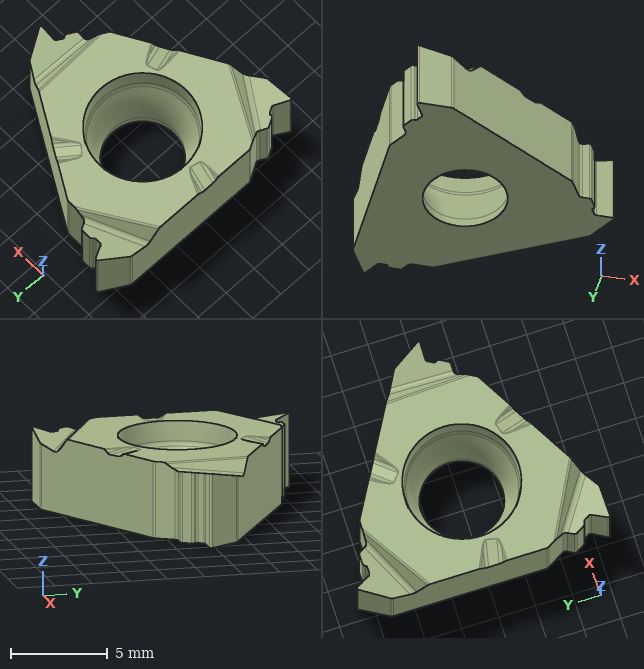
import cadquery as cq
import math

CORNERS = 3
THICKNESS = 4.1
SIDE_DISTANCE = 4.75
FLANK_SLOPE = math.tan(math.radians(60))

TIP_X = -3.78
TIP_APEX_Y = 7.0
ROOT_Y = 6.03
CREST_Y = 6.22
SHELF_Y = 5.69
STEP_X = -2.75
CREST_END_X = -1.94
TIP_RADIUS = 0.1
ROOT_RADIUS = 0.12
CREST_RADIUS = 0.18
SHELF_RADIUS = 0.25
SIDE_RADIUS = 0.27

BORE_RADIUS = 4.4 / 2
FLARE_START_Z = 0.5
FLARE_RADIUS = 4.0
FLARE_END_ANGLE = 35.0
MOUTH_FILLET = 0.5
MOUTH_RADIUS = 3.09

FLOOR_ANGLE = 15.0
TIP_DROP = 0.12
WALL_ANGLE = 52.4
WALL_TURN = 32.0
WALL_TOP_Y = 3.31
GROOVE_FILLET = 0.33
GROOVE_EDGE_RADIUS = 0.15
GROOVE_REACH = 5.47

NOTCH_TURN = -12.0
NOTCH_RAMP = 9.0
NOTCH_END_X = -3.39
NOTCH_END_Y = -0.5
NOTCH_FLOOR_WIDTH = 0.8
NOTCH_WALL_ANGLE = 35.0
NOTCH_FILLET = 0.37
NOTCH_EDGE_RADIUS = 0.14
NOTCH_REACH = 2.74

tip_top_y = TIP_APEX_Y - TIP_RADIUS
side_start_y = TIP_APEX_Y - (TIP_X + SIDE_DISTANCE) * FLANK_SLOPE
shelf_end_x = 2 * SIDE_DISTANCE - SHELF_Y * FLANK_SLOPE


def corner_angle(corner):
    return -360 * corner / CORNERS


def turned_point(point, corner):
    """Plan point of the first corner, moved to another corner."""
    angle = math.radians(corner_angle(corner))
    x, y = point
    return (x * math.cos(angle) - y * math.sin(angle), x * math.sin(angle) + y * math.cos(angle))


def turned_body(body, corner):
    return body.rotate((0, 0, 0), (0, 0, 1), corner_angle(corner))


def round_edge(body, point, radius):
    """Fillet the edge whose middle is nearest to a point."""
    return body.edges(cq.selectors.NearestToPointSelector(point)).fillet(radius)


def make_blank():
    def down_flank(x, from_y, to_y):
        return (x + (from_y - to_y) / FLANK_SLOPE, to_y)

    tooth = [
        ((-SIDE_DISTANCE, side_start_y), SIDE_RADIUS),
        ((TIP_X, TIP_APEX_Y), TIP_RADIUS),
        (down_flank(TIP_X, TIP_APEX_Y, ROOT_Y), ROOT_RADIUS),
        ((STEP_X, ROOT_Y), ROOT_RADIUS),
        ((STEP_X + (CREST_Y - ROOT_Y) / FLANK_SLOPE, CREST_Y), CREST_RADIUS),
        ((CREST_END_X, CREST_Y), CREST_RADIUS),
        (down_flank(CREST_END_X, CREST_Y, SHELF_Y), SHELF_RADIUS),
        ((shelf_end_x, SHELF_Y), SIDE_RADIUS),
    ]
    outline = [(turned_point(point, corner), radius) for corner in range(CORNERS) for point, radius in tooth]
    blank = cq.Workplane("XY").polyline([point for point, _ in outline]).close().extrude(THICKNESS)
    for point, radius in outline:
        blank = round_edge(blank, (*point, THICKNESS / 2), radius)
    return blank


def make_screw_hole():
    lean = math.radians(FLARE_END_ANGLE)
    flare_x = BORE_RADIUS + FLARE_RADIUS

    def on_flare(angle, offset=0):
        reach = FLARE_RADIUS + offset
        return (flare_x - reach * math.cos(angle), FLARE_START_Z + reach * math.sin(angle))

    fillet_x, fillet_z = on_flare(lean, MOUTH_FILLET)
    to_mouth_x = MOUTH_RADIUS - fillet_x
    to_mouth_z = THICKNESS - fillet_z
    taper = math.acos(MOUTH_FILLET / math.hypot(to_mouth_x, to_mouth_z)) - math.atan2(to_mouth_z, to_mouth_x)

    def on_fillet(angle):
        return (fillet_x + MOUTH_FILLET * math.cos(angle), fillet_z - MOUTH_FILLET * math.sin(angle))

    profile = (
        cq.Workplane("XZ")
        .lineTo(BORE_RADIUS, 0)
        .lineTo(BORE_RADIUS, FLARE_START_Z)
        .threePointArc(on_flare(lean / 2), on_flare(lean))
        .threePointArc(on_fillet((lean + taper) / 2), on_fillet(taper))
        .lineTo(MOUTH_RADIUS, THICKNESS)
        .lineTo(0, THICKNESS)
        .close()
    )
    return profile.revolve(360, (0, 0), (0, 1))


def make_groove():
    """Wedge whose floor and wall planes meet along a sloping, rounded fold line."""
    turn = math.radians(WALL_TURN)
    floor_slope = math.tan(math.radians(FLOOR_ANGLE))
    wall_slope = math.tan(math.radians(WALL_ANGLE))
    floor_normal = cq.Vector(0, -floor_slope, 1)
    wall_normal = cq.Vector(-wall_slope * math.sin(turn), wall_slope * math.cos(turn), 1)
    fold = wall_normal.cross(floor_normal)

    side_slope = wall_slope * math.cos(turn)
    fold_y = (TIP_DROP + floor_slope * tip_top_y + side_slope * WALL_TOP_Y) / (floor_slope + side_slope)
    fold_z = THICKNESS - side_slope * (fold_y - WALL_TOP_Y)
    fold_point = (-SIDE_DISTANCE, fold_y, fold_z)

    section = cq.Plane(fold_point, floor_normal.cross(fold), fold)
    opening = math.pi - floor_normal.getAngle(wall_normal)
    wall_end = (GROOVE_REACH * math.cos(opening), GROOVE_REACH * math.sin(opening))
    wedge = (
        cq.Workplane(section)
        .polyline([(0, 0), (GROOVE_REACH, 0), wall_end])
        .close()
        .extrude(GROOVE_REACH, both=True)
    )
    return round_edge(wedge, fold_point, GROOVE_FILLET)


def make_notch():
    """Channel with sloping walls, descending along its length."""
    turn = math.radians(NOTCH_TURN)
    ramp = math.radians(NOTCH_RAMP)
    across = cq.Vector(math.sin(turn), -math.cos(turn), 0)
    outward = cq.Vector(-math.cos(turn), -math.sin(turn), -math.tan(ramp))
    section = cq.Plane((NOTCH_END_X, NOTCH_END_Y, THICKNESS), across, outward)
    half_floor = NOTCH_FLOOR_WIDTH / 2
    half_top = half_floor + NOTCH_REACH / math.tan(math.radians(NOTCH_WALL_ANGLE))
    channel = (
        cq.Workplane(section)
        .polyline([(-half_floor, 0), (half_floor, 0), (half_top, NOTCH_REACH), (-half_top, NOTCH_REACH)])
        .close()
        .extrude(NOTCH_REACH, both=True)
    )
    for side in (-1, 1):
        floor_edge = section.toWorldCoords((side * half_floor, 0)).toTuple()
        channel = round_edge(channel, floor_edge, NOTCH_FILLET)
    return channel


insert = make_blank().cut(make_screw_hole())
groove = make_groove()
notch = make_notch()
for corner in range(CORNERS):
    insert = insert.cut(turned_body(groove, corner)).cut(turned_body(notch, corner))

wall_run = (SHELF_Y - WALL_TOP_Y) / math.tan(math.radians(WALL_TURN))
wall_edge_middle = (wall_run / 2 - SIDE_DISTANCE, (WALL_TOP_Y + SHELF_Y) / 2)
notch_end = (NOTCH_END_X, NOTCH_END_Y)
for corner in range(CORNERS):
    for middle, radius in ((wall_edge_middle, GROOVE_EDGE_RADIUS), (notch_end, NOTCH_EDGE_RADIUS)):
        insert = round_edge(insert, (*turned_point(middle, corner), THICKNESS), radius)

result = insert